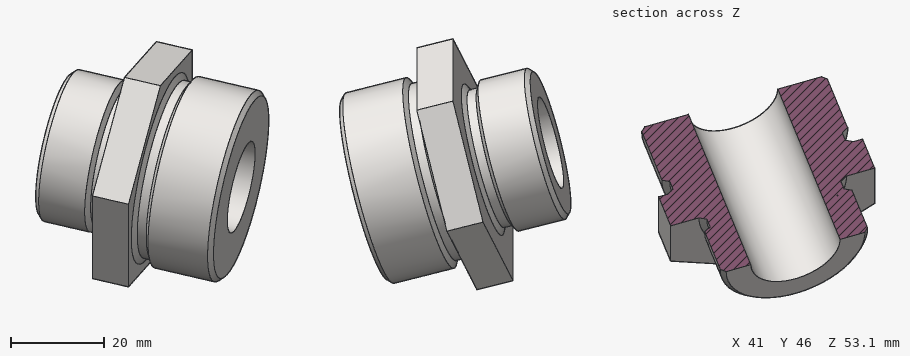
import cadquery as cq
import math

total_length = 41.0
small_thread_length = 15.0
hex_thickness = 8.0
hex_end = small_thread_length + hex_thickness

hex_across_corners = 53.1

small_diameter = 33.25
small_groove_diameter = 30.3
large_diameter = 41.9
large_groove_diameter = 38.95
bore_diameter = 20.0

end_chamfer = 1.0
groove_width = 3.7
groove_wall_angle = 30


def threaded_end(hex_face, direction, length, diameter, groove_diameter):
    """Solid spigot running from a hexagon face to its end, with a V-sided groove beside the face."""
    radius = diameter / 2
    groove_radius = groove_diameter / 2
    wall_run = (radius - groove_radius) * math.tan(math.radians(groove_wall_angle))
    profile = [
        (0, 0),
        (0, radius),
        (wall_run, groove_radius),
        (groove_width - wall_run, groove_radius),
        (groove_width, radius),
        (length - end_chamfer, radius),
        (length, radius - end_chamfer),
        (length, 0),
    ]
    points = [(hex_face + direction * distance, r) for distance, r in profile]
    return cq.Workplane("XY").polyline(points).close().revolve(360, (0, 0, 0), (1, 0, 0))


corner_radius = hex_across_corners / 2
corner_angles = [math.radians(90 + 60 * i) for i in range(6)]
hex_corners = [(corner_radius * math.cos(a), corner_radius * math.sin(a)) for a in corner_angles]
hex_body = (
    cq.Workplane("YZ", origin=(small_thread_length, 0, 0))
    .polyline(hex_corners)
    .close()
    .extrude(hex_thickness)
)

small_end = threaded_end(
    small_thread_length, -1, small_thread_length, small_diameter, small_groove_diameter
)
large_end = threaded_end(
    hex_end, 1, total_length - hex_end, large_diameter, large_groove_diameter
)

bore = cq.Workplane("YZ").circle(bore_diameter / 2).extrude(total_length)

result = hex_body.union(small_end).union(large_end).cut(bore)